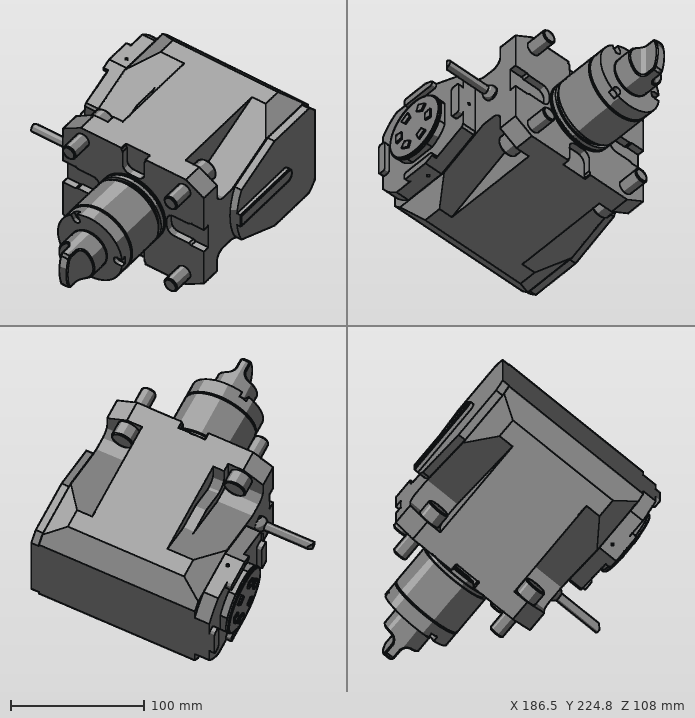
import cadquery as cq
import math


HALF_WIDTH = 65.2
HALF_HEIGHT = 54.0
LENGTH = 134.0
CORNER_X = 16.6
CORNER_Z = 10.0
BACK_CHAMFER = 15.7

FLANGE_THICKNESS = 17.0
POCKET_WALL_X = 36.0
POCKET_FLOOR_Z = 25.6
POCKET_SLOPE_START_Y = 102.5
POCKET_SLOPE = math.tan(math.radians(23))
POCKET_FILLET = 8.0
NICHE_WALL_X = 27.0
NICHE_FRONT_Y = 24.0
NICHE_SHELF_Z = 42.5
NICHE_SHELF_FRONT_Y = 54.0
NICHE_SHELF_FILLET = 10.1
NICHE_FLOOR_FILLET = 8.3

RECESS_DEPTH = 5.8
RECESS_END = 31.0
RECESS_WIDTH = 20.0
RECESS_MOUTH_WIDTH = 22.3
RECESS_RAMP = 2.2
RECESS_RADIUS = 6.7
SIDE_MOUTH_LENGTH = 11.7
TOP_MOUTH_LENGTH = 1.3

BOLT_X = 47.0
BOLT_Z = 42.3
BOLT_DIAMETER = 12.0
BOLT_HEAD_DIAMETER = 18.0
BOLT_HEAD_LENGTH = 12.0
BOLT_REACH = 18.0
BOLT_CHAMFER = 1.0

HEAD_END = 55.8
COLLAR_END = 56.9
CORE_DIAMETER = 55.3
SPINDLE_STAGES = [
    (1.0, 59.5),
    (2.2, 57.5),
    (5.8, 59.8),
    (9.2, CORE_DIAMETER),
    (42.7, 59.8),
    (43.8, 58.5),
    (HEAD_END, 59.5),
    (COLLAR_END, 32.0),
]
SPINDLE_END = 224.8 - LENGTH
NOTCH_WIDTH = 6.3
NOTCH_RADIUS = 25.2
NOTCH_DEPTH = 4.0
NOTCH_COUNT = 3

SHAFT_DIAMETER = 33.0
SHOULDER_END = 73.5
TONGUE_THICKNESS = 8.0
TONGUE_FILLET = 5.8
TIP_RADIUS = 42.7
TIP_CHAMFER = 2.0
TONGUE_CHAMFER = 1.0

COVER_Y = 90.1
COVER_HALF_HEIGHT = 43.5
COVER_SLOPE_START_Y = 82.0
OUTLET_COVER_RADIUS = 52.2
OUTLET_COVER_THICKNESS = 12.1
OUTLET_COVER_FRONT_Y = 45.0
PLUG_COVER_RADIUS = 56.6
PLUG_COVER_THICKNESS = 6.3

BAR_LENGTH = 30.8
BAR_WIDTH = 7.0
FRONT_BAR_WIDTH = 8.3
BAR_HEIGHT = 4.3
BAR_RADIUS = 2.2
HUB_DIAMETER = 54.5
HUB_HEIGHT = 5.8
HUB_FLAT_SPAN = 50.0
RIM_DIAMETER = 55.0
RIM_HEIGHT = 2.5
RIM_CHAMFER = 1.0
TOOTH_INNER = 13.0
TOOTH_OUTER = 18.9
TOOTH_INNER_WIDTH = 6.3
TOOTH_OUTER_WIDTH = 8.0
TOOTH_HEIGHT = 1.3
TOOTH_COUNT = 6
PIN_HOLE_DIAMETER = 2.1
PIN_HOLE_DEPTH = 4.5

KEY_WIDTH = 12.0
KEY_HEIGHT = 4.0
KEY_BACK_Y = 99.8
KEY_BACK_RADIUS = 5.8
KEY_CHAMFER = 1.0

PIPE_Y = 26.0
PIPE_DIAMETER = 7.0
PIPE_END_X = -111.0
PIPE_BEVEL = 3.1
BALL_DIAMETER = 12.0
BALL_X = -67.0

OVERLAP = 1.1


def cylinder_y(diameter, y_start, y_end):
    """Cylinder about the spindle axis."""
    disc = cq.Workplane("XZ", origin=(0, y_start, 0)).circle(diameter / 2)
    return disc.extrude(y_start - y_end)


def cylinder_x(diameter, x_start, x_end, y):
    """Cylinder along X at height Z = 0."""
    return cq.Workplane("YZ", origin=(x_start, y, 0)).circle(diameter / 2).extrude(x_end - x_start)


def slope_y(z):
    """Y at which the sloped pocket floor reaches a given height."""
    return POCKET_SLOPE_START_Y - (HALF_HEIGHT - z) / POCKET_SLOPE


def housing_block():
    inner_x = HALF_WIDTH - CORNER_X
    inner_z = HALF_HEIGHT - CORNER_Z
    block = (
        cq.Workplane("XZ")
        .polyline([
            (-inner_x, HALF_HEIGHT), (inner_x, HALF_HEIGHT),
            (HALF_WIDTH, inner_z), (HALF_WIDTH, -inner_z),
            (inner_x, -HALF_HEIGHT), (-inner_x, -HALF_HEIGHT),
            (-HALF_WIDTH, -inner_z), (-HALF_WIDTH, inner_z),
        ])
        .close()
        .extrude(-LENGTH)
    )
    back_y = LENGTH - BACK_CHAMFER
    side_profile = (
        cq.Workplane("YZ", origin=(-HALF_WIDTH, 0, 0))
        .polyline([
            (0, -HALF_HEIGHT), (back_y, -HALF_HEIGHT),
            (LENGTH, BACK_CHAMFER - HALF_HEIGHT), (LENGTH, HALF_HEIGHT - BACK_CHAMFER),
            (back_y, HALF_HEIGHT), (0, HALF_HEIGHT),
        ])
        .close()
        .extrude(2 * HALF_WIDTH)
    )
    return block.intersect(side_profile)


def side_pocket():
    """Cutter for the upper pocket on the +X side."""
    top_z = HALF_HEIGHT + OVERLAP
    return (
        cq.Workplane("YZ", origin=(POCKET_WALL_X, 0, 0))
        .polyline([
            (FLANGE_THICKNESS, top_z), (slope_y(top_z), top_z),
            (slope_y(POCKET_FLOOR_Z), POCKET_FLOOR_Z), (FLANGE_THICKNESS, POCKET_FLOOR_Z),
        ])
        .close()
        .extrude(HALF_WIDTH - POCKET_WALL_X + OVERLAP)
        .edges("|X")
        .edges("<Z")
        .fillet(POCKET_FILLET)
    )


def stepped_niche():
    """Cutter that widens the upper -X pocket and leaves a stepped shelf."""
    top_z = HALF_HEIGHT + OVERLAP
    ramp_end_z = NICHE_SHELF_Z - (NICHE_SHELF_FRONT_Y - NICHE_FRONT_Y) * POCKET_SLOPE
    return (
        cq.Workplane("YZ", origin=(-POCKET_WALL_X - OVERLAP, 0, 0))
        .polyline([
            (NICHE_FRONT_Y, top_z), (slope_y(top_z), top_z),
            (slope_y(NICHE_SHELF_Z), NICHE_SHELF_Z), (NICHE_SHELF_FRONT_Y, NICHE_SHELF_Z),
            (NICHE_FRONT_Y, ramp_end_z),
        ])
        .close()
        .extrude(POCKET_WALL_X - NICHE_WALL_X + OVERLAP)
        .edges("|X and (not >Z) and (not <Z)")
        .fillet(NICHE_SHELF_FILLET)
        .edges("|X")
        .edges("<Z")
        .fillet(NICHE_FLOOR_FILLET)
    )


def face_recess(edge, mouth_length):
    """Cutter for a recess running along +X from the spindle out to the housing edge."""
    half = RECESS_WIDTH / 2
    mouth = RECESS_MOUTH_WIDTH / 2
    mouth_x = edge - mouth_length
    return (
        cq.Workplane("XZ")
        .polyline([
            (RECESS_END, -half), (mouth_x - RECESS_RAMP, -half), (mouth_x, -mouth), (edge, -mouth),
            (edge, mouth), (mouth_x, mouth), (mouth_x - RECESS_RAMP, half), (RECESS_END, half),
        ])
        .close()
        .extrude(-RECESS_DEPTH)
        .edges("|Y")
        .edges("<X")
        .fillet(RECESS_RADIUS)
    )


def housing():
    body = housing_block()
    pocket = side_pocket()
    for cutter in (pocket, pocket.mirror("YZ")):
        body = body.cut(cutter).cut(cutter.mirror("XY"))
    body = body.cut(stepped_niche())
    side_recess = face_recess(HALF_WIDTH, SIDE_MOUTH_LENGTH)
    top_recess = face_recess(HALF_HEIGHT, TOP_MOUTH_LENGTH)
    for angle, recess in ((0, side_recess), (90, top_recess), (180, side_recess), (270, top_recess)):
        body = body.cut(recess.rotate((0, 0, 0), (0, 1, 0), angle))
    return body


def bolt(x, z):
    shank = cylinder_y(BOLT_DIAMETER, FLANGE_THICKNESS, -BOLT_REACH).faces("<Y").chamfer(BOLT_CHAMFER)
    head_end = FLANGE_THICKNESS + BOLT_HEAD_LENGTH
    head = cylinder_y(BOLT_HEAD_DIAMETER, FLANGE_THICKNESS - OVERLAP, head_end)
    head = head.faces(">Y").chamfer(BOLT_CHAMFER)
    return shank.union(head).translate((x, 0, z))


def tongue_shaft():
    """Spindle end turned down and milled on both sides to a domed tongue."""
    radius = SHAFT_DIAMETER / 2
    dome_rim = radius - TIP_CHAMFER
    dome_rim_y = TIP_RADIUS - SPINDLE_END - math.sqrt(TIP_RADIUS**2 - dome_rim**2)
    dome_mid = TIP_RADIUS * math.sin(math.asin(dome_rim / TIP_RADIUS) / 2)
    dome_mid_y = TIP_RADIUS - SPINDLE_END - math.sqrt(TIP_RADIUS**2 - dome_mid**2)
    shaft = (
        cq.Workplane("XY")
        .moveTo(0, -COLLAR_END)
        .lineTo(radius, -COLLAR_END)
        .lineTo(radius, dome_rim_y + TIP_CHAMFER)
        .lineTo(dome_rim, dome_rim_y)
        .threePointArc((dome_mid, dome_mid_y), (0, -SPINDLE_END))
        .close()
        .revolve(360, (0, 0, 0), (0, 1, 0))
    )
    side_width = radius + OVERLAP - TONGUE_THICKNESS / 2
    side_length = SPINDLE_END + OVERLAP - SHOULDER_END
    side_cut = (
        cq.Workplane("XY")
        .box(side_width, side_length, SHAFT_DIAMETER, centered=(False, False, True))
        .translate((TONGUE_THICKNESS / 2, -SPINDLE_END - OVERLAP, 0))
        .edges("<X and >Y")
        .fillet(TONGUE_FILLET)
    )
    shaft = shaft.cut(side_cut).cut(side_cut.mirror("YZ"))
    return shaft.faces("|X").edges("not >Y").chamfer(TONGUE_CHAMFER)


def spindle():
    body = cylinder_y(CORE_DIAMETER, OVERLAP, -HEAD_END)
    start = 0
    for end, diameter in SPINDLE_STAGES:
        body = body.union(cylinder_y(diameter, -start, -end))
        start = end
    notch = (
        cq.Workplane("XZ", origin=(0, NOTCH_DEPTH - HEAD_END, 0))
        .center(NOTCH_RADIUS + NOTCH_WIDTH, 0)
        .slot2D(3 * NOTCH_WIDTH, NOTCH_WIDTH)
        .extrude(NOTCH_DEPTH)
    )
    for index in range(NOTCH_COUNT):
        body = body.cut(notch.rotate((0, 0, 0), (0, 1, 0), index * 360 / NOTCH_COUNT))
    return body.union(tongue_shaft())


def cover(radius, front_y, thickness):
    """Cover on the +X side: a disc trimmed to the housing height and the pocket slopes."""
    half = COVER_HALF_HEIGHT
    front_z = half - (COVER_SLOPE_START_Y - front_y) * POCKET_SLOPE
    outline = (
        cq.Workplane("YZ", origin=(HALF_WIDTH - OVERLAP, 0, 0))
        .polyline([
            (LENGTH, half), (COVER_SLOPE_START_Y, half), (front_y, front_z),
            (front_y, -front_z), (COVER_SLOPE_START_Y, -half), (LENGTH, -half),
        ])
        .close()
        .extrude(thickness + OVERLAP)
    )
    return outline.intersect(cylinder_x(2 * radius, 0, 2 * HALF_WIDTH, COVER_Y))


def clamp_bar(y, z, size_y, size_z, x):
    """Bar with rounded corners standing on the cover face."""
    return (
        cq.Workplane("XY")
        .box(BAR_HEIGHT + OVERLAP, size_y, size_z, centered=(False, True, True))
        .translate((x - OVERLAP, y, z))
        .edges("|X")
        .fillet(BAR_RADIUS)
    )


def outlet_cover():
    """Cover with clamp bars, hub, rim and driving teeth, built on the +X side."""
    face_x = HALF_WIDTH + OUTLET_COVER_THICKNESS
    body = cover(OUTLET_COVER_RADIUS, OUTLET_COVER_FRONT_Y, OUTLET_COVER_THICKNESS)
    bar_z = COVER_HALF_HEIGHT - BAR_WIDTH / 2
    back_bar_y = LENGTH - BAR_WIDTH / 2
    front_bar_y = OUTLET_COVER_FRONT_Y + FRONT_BAR_WIDTH / 2
    outline = cover(OUTLET_COVER_RADIUS, OUTLET_COVER_FRONT_Y, OUTLET_COVER_THICKNESS + BAR_HEIGHT)
    for bar in (
        clamp_bar(COVER_Y, bar_z, BAR_LENGTH, BAR_WIDTH, face_x),
        clamp_bar(COVER_Y, -bar_z, BAR_LENGTH, BAR_WIDTH, face_x),
        clamp_bar(back_bar_y, 0, BAR_WIDTH, BAR_LENGTH, face_x),
        clamp_bar(front_bar_y, 0, FRONT_BAR_WIDTH, BAR_LENGTH, face_x),
    ):
        body = body.union(bar.intersect(outline))

    rim_x = face_x + HUB_HEIGHT
    rim_end_x = rim_x + RIM_HEIGHT
    hub = cylinder_x(HUB_DIAMETER, face_x - OVERLAP, rim_x, COVER_Y)
    flats = cq.Workplane("XY").box(2 * rim_x, HUB_FLAT_SPAN, HUB_FLAT_SPAN).translate((0, COVER_Y, 0))
    rim = cylinder_x(RIM_DIAMETER, rim_x, rim_end_x, COVER_Y).faces(">X").chamfer(RIM_CHAMFER)
    body = body.union(hub.intersect(flats)).union(rim)

    tooth = (
        cq.Workplane("YZ", origin=(rim_end_x - OVERLAP, COVER_Y, 0))
        .polyline([
            (TOOTH_INNER, -TOOTH_INNER_WIDTH / 2), (TOOTH_OUTER, -TOOTH_OUTER_WIDTH / 2),
            (TOOTH_OUTER, TOOTH_OUTER_WIDTH / 2), (TOOTH_INNER, TOOTH_INNER_WIDTH / 2),
        ])
        .close()
        .extrude(TOOTH_HEIGHT + OVERLAP)
    )
    for index in range(TOOTH_COUNT):
        angle = index * 360 / TOOTH_COUNT
        body = body.union(tooth.rotate((0, COVER_Y, 0), (1, COVER_Y, 0), angle))

    hole_x = HALF_WIDTH + OUTLET_COVER_THICKNESS / 2
    hole = (
        cq.Workplane("XY", origin=(hole_x, COVER_Y, COVER_HALF_HEIGHT))
        .circle(PIN_HOLE_DIAMETER / 2)
        .extrude(-PIN_HOLE_DEPTH)
    )
    front_hole = cylinder_y(PIN_HOLE_DIAMETER, OUTLET_COVER_FRONT_Y, OUTLET_COVER_FRONT_Y + PIN_HOLE_DEPTH)
    return body.cut(hole).cut(hole.mirror("XY")).cut(front_hole.translate((hole_x, 0, 0)))


def plug_cover():
    """Plain cover with a round-ended key."""
    body = cover(PLUG_COVER_RADIUS, COVER_Y - PLUG_COVER_RADIUS, PLUG_COVER_THICKNESS)
    face_x = HALF_WIDTH + PLUG_COVER_THICKNESS
    key_length = KEY_BACK_Y - COVER_Y + PLUG_COVER_RADIUS
    key = (
        cq.Workplane("XY")
        .box(KEY_HEIGHT + OVERLAP, key_length, KEY_WIDTH, centered=(False, False, True))
        .translate((face_x - OVERLAP, KEY_BACK_Y - key_length, 0))
        .edges("|X and >Y")
        .fillet(KEY_BACK_RADIUS)
        .intersect(cylinder_x(2 * PLUG_COVER_RADIUS, 0, 2 * HALF_WIDTH, COVER_Y))
        .faces(">X")
        .chamfer(KEY_CHAMFER)
    )
    return body.union(key)


def coolant_pipe():
    """Pipe with a bevelled end, seated in the housing by a ball."""
    pipe = cylinder_x(PIPE_DIAMETER, PIPE_END_X, -HALF_WIDTH, PIPE_Y)
    back_y = PIPE_Y + PIPE_DIAMETER / 2
    bevel = (
        cq.Workplane("XY", origin=(0, 0, -PIPE_DIAMETER))
        .polyline([(PIPE_END_X, back_y - PIPE_BEVEL), (PIPE_END_X + PIPE_BEVEL, back_y), (PIPE_END_X, back_y)])
        .close()
        .extrude(2 * PIPE_DIAMETER)
    )
    ball = cq.Workplane("XY").sphere(BALL_DIAMETER / 2).translate((BALL_X, PIPE_Y, 0))
    return pipe.cut(bevel).union(ball)


result = housing().union(spindle()).union(coolant_pipe())
result = result.union(outlet_cover().mirror("YZ")).union(plug_cover())
for bolt_x in (-BOLT_X, BOLT_X):
    for bolt_z in (-BOLT_Z, BOLT_Z):
        result = result.union(bolt(bolt_x, bolt_z))